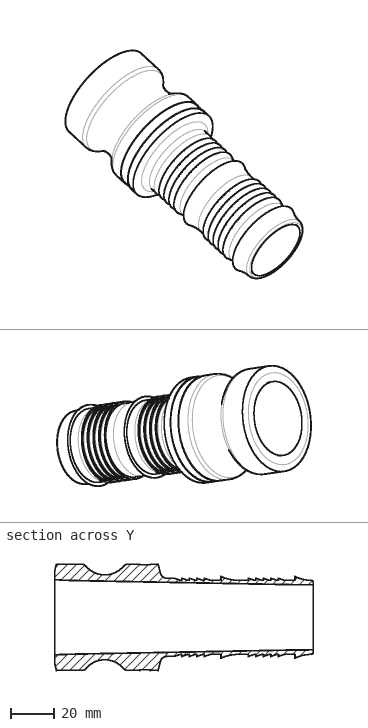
import cadquery as cq
import math

length = 120.0
head_radius = 49.5 / 2

bore_front_radius = 34.5 / 2
bore_back_radius = 30.0 / 2

bevel_length = 0.7
bevel_height = 3.2

groove_center = 23.3
groove_half_width = 10.5
groove_depth = 4.9
groove_edge_radius = 2.4

band_start = 39.6
band_end = 44.4
band_radius = 49.0 / 2

collar_end = 48.1
collar_slope = math.radians(14)
collar_fillet = 3.0

shank_radius = 36.5 / 2
root_radius = 34.5 / 2
tooth_count = 5
tooth_pitch = 3.5
tooth_length = 3.0
tooth_group_starts = (55.5, 89.8)

barb_radius = 19.1
barb_length = 8.3
middle_barb_start = 77.0
end_barb_start = 111.4
end_fillet = 1.1


def arc_point(center, radius, angle):
    """Point on a circle, with the angle measured from +X."""
    return center[0] + radius * math.cos(angle), center[1] + radius * math.sin(angle)


def add_groove(outline):
    """Cam groove, symmetric about its centre plane."""
    center_spacing = (groove_half_width**2 + groove_depth**2) / (2 * groove_depth)
    groove_radius = center_spacing - groove_edge_radius
    tilt = math.asin(groove_half_width / center_spacing)
    edge_height = head_radius - groove_edge_radius

    front_center = (groove_center - groove_half_width, edge_height)
    back_center = (groove_center + groove_half_width, edge_height)
    front_top = (front_center[0], head_radius)
    back_top = (back_center[0], head_radius)
    up = math.pi / 2
    front_mid = arc_point(front_center, groove_edge_radius, up - tilt / 2)
    front_join = arc_point(front_center, groove_edge_radius, up - tilt)
    back_join = arc_point(back_center, groove_edge_radius, up + tilt)
    back_mid = arc_point(back_center, groove_edge_radius, up + tilt / 2)
    waist = (groove_center, head_radius - groove_depth)

    outline = outline.lineTo(*front_top).threePointArc(front_mid, front_join)
    outline = outline.threePointArc(waist, back_join)
    return outline.threePointArc(back_mid, back_top)


def add_collar(outline):
    """Rear collar with its shallow band and sloping back."""
    outline = outline.lineTo(band_start, head_radius).lineTo(band_start, band_radius)
    outline = outline.lineTo(band_end, band_radius).lineTo(band_end, head_radius)
    outline = outline.lineTo(collar_end, head_radius)

    join_height = shank_radius + collar_fillet * (1 - math.sin(collar_slope))
    join_x = collar_end + (head_radius - join_height) * math.tan(collar_slope)
    fillet_center = (join_x + collar_fillet * math.cos(collar_slope), shank_radius + collar_fillet)
    middle_angle = 1.25 * math.pi - collar_slope / 2
    fillet_mid = arc_point(fillet_center, collar_fillet, middle_angle)
    outline = outline.lineTo(join_x, join_height)
    return outline.threePointArc(fillet_mid, (fillet_center[0], shank_radius))


def add_teeth(outline, start):
    """Row of saw teeth, each falling from a sharp crest to the root."""
    for index in range(tooth_count):
        crest_x = start + index * tooth_pitch
        outline = outline.lineTo(crest_x, shank_radius)
        outline = outline.lineTo(crest_x + tooth_length, root_radius)
        if index < tooth_count - 1:
            outline = outline.lineTo(crest_x + tooth_pitch, root_radius)
    return outline


def add_barb(outline, start, flank_length):
    """Large barb whose concave flank runs out tangent to the root."""
    height = barb_radius - root_radius
    flank_radius = (flank_length**2 + height**2) / (2 * height)
    half_sweep = math.asin(flank_length / flank_radius) / 2
    flank_center = (start + flank_length, root_radius + flank_radius)
    flank_mid = arc_point(flank_center, flank_radius, -math.pi / 2 - half_sweep)
    outline = outline.lineTo(start, root_radius).lineTo(start, barb_radius)
    return outline.threePointArc(flank_mid, (start + flank_length, root_radius))


outline = cq.Workplane("XY").moveTo(0, bore_front_radius)
outline = outline.lineTo(0, head_radius - bevel_height).lineTo(bevel_length, head_radius)
outline = add_groove(outline)
outline = add_collar(outline)
outline = add_teeth(outline, tooth_group_starts[0])
outline = add_barb(outline, middle_barb_start, barb_length)

outline = outline.lineTo(tooth_group_starts[1], root_radius)
outline = add_teeth(outline, tooth_group_starts[1])

end_fillet_start = length - end_fillet
outline = add_barb(outline, end_barb_start, end_fillet_start - end_barb_start)
end_fillet_mid = arc_point((end_fillet_start, root_radius - end_fillet), end_fillet, math.pi / 4)
outline = outline.threePointArc(end_fillet_mid, (length, root_radius - end_fillet))
outline = outline.lineTo(length, bore_back_radius).close()

result = outline.revolve(360, (0, 0, 0), (1, 0, 0))